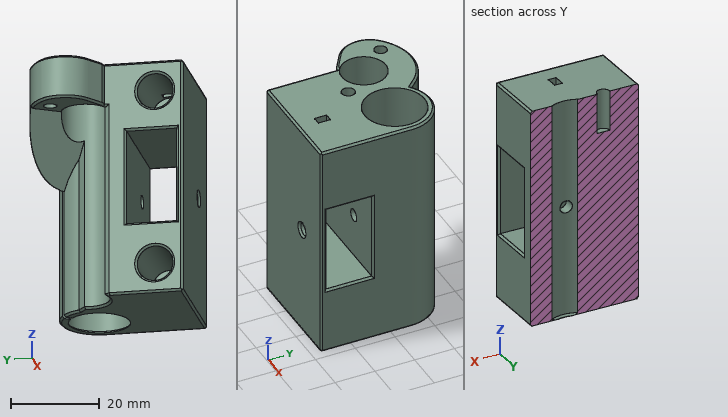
import cadquery as cq

WIDTH = 28.0
HEIGHT = 55.0
EDGE_CHAMFER = 0.5
TUBE_X = 19.05
TUBE_Y = 23.0
TUBE_RADIUS = 9.0
LEFT_WALL_END_Y = 17.0

BORE_RADIUS = 15.0 / 2
SEAT_LIP = 0.5
SIDE_BORE_RADIUS = 11.0 / 2
SIDE_BORE_X = 3.25
SIDE_BORE_Y = TUBE_Y

WEB_START = (10.55, 26.0)
WEB_END = (7.9, 23.75)
WALL_FLAT_END = (1.2, 18.7)

LOBE_HEIGHT = 10.0
LOBE_BOTTOM = HEIGHT - LOBE_HEIGHT
LOBE_FLAT_END = (-4.9, 20.75)
LOBE_LEFT = (-8.25, 26.5)
LOBE_ARC_JOINT = (-6.75, 31.1)
LOBE_REAR = (2.85, 35.55)
LOBE_TAIL_START = (12.25, 31.2)
LOBE_TAIL_END = (14.2, 29.15)
LOBE_INNER_CORNER = (6.6, 13.75)
LOBE_WALL_LOW_Y = 15.4
LOBE_WALL_HIGH_Y = 18.0
LOBE_FLAT_START = (-1.2, 18.3)

SUPPORT_BOTTOM = 29.8
SUPPORT_SLOPE_POINT = (-1.15, 34.45, 44.3)
SUPPORT_FALL_ALONG_X = 1.24
SUPPORT_FALL_ALONG_Y = 0.77

SLIT_WIDTH = 1.0
SLIT_ANGLE = 126.0

WINDOW_LENGTH = 11.5
WINDOW_HEIGHT = 22.0
WINDOW_Y = 7.25
WINDOW_Z = 27.85

PIN_HOLE_X = -2.5
PIN_HOLE_Y = 30.05
PIN_HOLE_DIAMETER = 3.0
BLIND_HOLE_X = 9.1
BLIND_HOLE_Y = 16.2
BLIND_HOLE_DIAMETER = 3.2
BLIND_HOLE_DEPTH = LOBE_HEIGHT
SCREW_HOLE_X = 18.35
SCREW_HOLE_Z = WINDOW_Z
SCREW_HOLE_DIAMETER = 3.0

POCKET_DIAMETER = 8.2
POCKET_DEPTH = 18.0
POCKET_Y = 6.5
POCKET_SPACING = 41.05
LOWER_POCKET_Z = (HEIGHT - POCKET_SPACING) / 2
UPPER_POCKET_Z = LOWER_POCKET_Z + POCKET_SPACING
NOTCH_WIDTH = 2.0
NOTCH_LENGTH = 3.0
NOTCH_X = 16.0
NOTCH_Y = 6.3


def cylinder(x, y, radius, bottom, top):
    return cq.Workplane("XY", origin=(x, y, bottom)).circle(radius).extrude(top - bottom)


def chamfer_ends(solid):
    return solid.faces("<Z or >Z").edges().chamfer(EDGE_CHAMFER)


def make_side_bore():
    return cylinder(SIDE_BORE_X, SIDE_BORE_Y, SIDE_BORE_RADIUS, 0, HEIGHT)


def make_bore():
    """Tube bore that narrows to a conical seat at its lower end."""
    return cylinder(TUBE_X, TUBE_Y, BORE_RADIUS, 0, HEIGHT).faces("<Z").chamfer(SEAT_LIP)


def make_body():
    column = (
        cq.Workplane("XY")
        .lineTo(WIDTH, 0)
        .lineTo(WIDTH, TUBE_Y)
        .threePointArc((TUBE_X, TUBE_Y + TUBE_RADIUS), WEB_START)
        .lineTo(*WEB_END)
        .lineTo(SIDE_BORE_X, SIDE_BORE_Y)
        .lineTo(*WALL_FLAT_END)
        .lineTo(0, LEFT_WALL_END_Y)
        .close()
        .extrude(HEIGHT)
    )
    column = chamfer_ends(column.cut(make_side_bore()))
    return column.edges("|Z and <Y").chamfer(EDGE_CHAMFER)


def lobe_prism(bottom, height):
    """Rounded lobe whose inner corners are buried in the block and the tube."""
    return (
        cq.Workplane("XY", origin=(0, 0, bottom))
        .moveTo(*LOBE_FLAT_END)
        .threePointArc(LOBE_LEFT, LOBE_ARC_JOINT)
        .threePointArc(LOBE_REAR, LOBE_TAIL_START)
        .lineTo(*LOBE_TAIL_END)
        .lineTo(TUBE_X, TUBE_Y)
        .lineTo(*LOBE_INNER_CORNER)
        .lineTo(0, LOBE_WALL_LOW_Y)
        .lineTo(0, LOBE_WALL_HIGH_Y)
        .lineTo(*LOBE_FLAT_START)
        .close()
        .extrude(height)
    )


def make_support():
    """Part of the lobe prism above the slope, overlapping the lobe by its chamfer."""
    column = lobe_prism(SUPPORT_BOTTOM, LOBE_BOTTOM + EDGE_CHAMFER - SUPPORT_BOTTOM)
    upward = (SUPPORT_FALL_ALONG_X, SUPPORT_FALL_ALONG_Y, 1)
    above_slope = (
        cq.Workplane(cq.Plane(SUPPORT_SLOPE_POINT, normal=upward))
        .rect(2 * HEIGHT, 2 * HEIGHT).extrude(HEIGHT)
    )
    return column.intersect(above_slope)


def make_slit():
    """Slot that runs from the tube axis outward through the wall."""
    return (
        cq.Workplane("XY")
        .rect(2 * TUBE_RADIUS, SLIT_WIDTH).extrude(LOBE_BOTTOM)
        .translate((TUBE_RADIUS, 0, 0))
        .rotate((0, 0, 0), (0, 0, 1), SLIT_ANGLE)
        .translate((TUBE_X, TUBE_Y, 0))
    )


def make_window():
    """Rectangular passage with a chamfered mouth at both ends."""
    window = (
        cq.Workplane("YZ", origin=(0, WINDOW_Y, WINDOW_Z))
        .rect(WINDOW_LENGTH, WINDOW_HEIGHT).extrude(WIDTH)
    )
    for x, inward in ((0, 1), (WIDTH, -1)):
        mouth = (
            cq.Workplane("YZ", origin=(x, WINDOW_Y, WINDOW_Z))
            .rect(WINDOW_LENGTH + 2 * EDGE_CHAMFER, WINDOW_HEIGHT + 2 * EDGE_CHAMFER)
            .extrude(inward * EDGE_CHAMFER, taper=45)
        )
        window = window.union(mouth)
    return window


def countersunk_hole(plane, origin, diameter, depth):
    """Hole with a chamfered mouth, running along the normal of the plane."""
    hole = cq.Workplane(plane).circle(diameter / 2).extrude(depth)
    mouth = cq.Workplane(plane).circle(diameter / 2 + EDGE_CHAMFER).extrude(EDGE_CHAMFER, taper=45)
    return hole.union(mouth).translate(origin)


def make_notch():
    return (
        cq.Workplane("XY", origin=(NOTCH_X, NOTCH_Y, UPPER_POCKET_Z))
        .rect(NOTCH_WIDTH, NOTCH_LENGTH).extrude(HEIGHT - UPPER_POCKET_Z)
    )


lobe = chamfer_ends(lobe_prism(LOBE_BOTTOM, LOBE_HEIGHT))
part = make_body().union(make_support()).union(lobe)

part = part.cut(make_side_bore()).cut(make_bore()).cut(make_slit())

pin_hole = cylinder(PIN_HOLE_X, PIN_HOLE_Y, PIN_HOLE_DIAMETER / 2, 0, HEIGHT)
blind_hole = cylinder(BLIND_HOLE_X, BLIND_HOLE_Y, BLIND_HOLE_DIAMETER / 2, HEIGHT - BLIND_HOLE_DEPTH, HEIGHT)
screw_hole = countersunk_hole("ZX", (SCREW_HOLE_X, 0, SCREW_HOLE_Z), SCREW_HOLE_DIAMETER, TUBE_Y)
part = part.cut(pin_hole).cut(blind_hole).cut(screw_hole)

part = part.cut(make_window()).cut(make_notch())
for pocket_z in (LOWER_POCKET_Z, UPPER_POCKET_Z):
    part = part.cut(countersunk_hole("YZ", (0, POCKET_Y, pocket_z), POCKET_DIAMETER, POCKET_DEPTH))

result = part